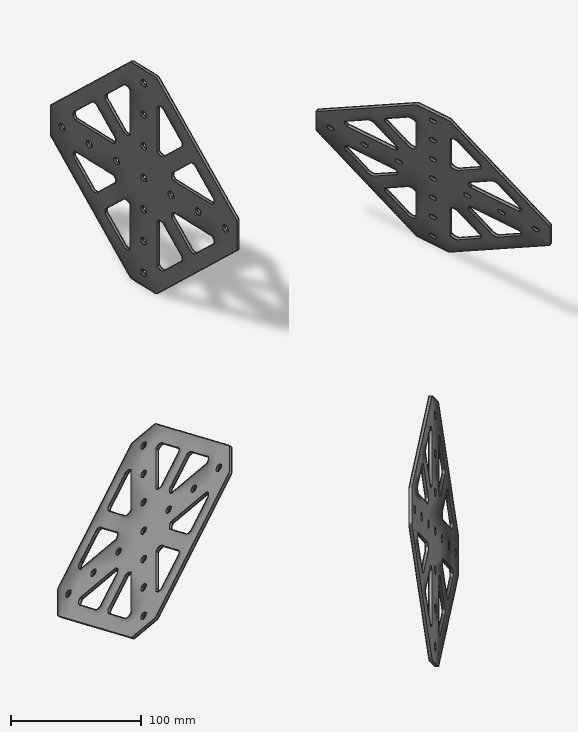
import cadquery as cq
import math

side = 206.0
thickness = 2.5
flat_width = 28.5
corner_radius = 3.5

hole_diameter = 6.2
hole_pitch = 30.0
holes_per_arm = 3

arm_half_width = 15.0
relief_radius = 5.0
relief_offset = 19.2
relief_inner = 35.8
relief_outer = 73.0
edge_offset = 4.7


def make_plate():
    """Square standing on its corner, with the four corners cut flat."""
    half = side / 2
    cut = half - flat_width / 2
    plate = cq.Workplane("XY").box(side, side, thickness).edges("|Z").chamfer(cut)
    return plate.edges("|Z").fillet(corner_radius)


def make_window():
    """Window beside the +Y arm, on its +X side."""
    middle = (relief_inner + relief_outer) / 2
    half_span = (relief_outer - relief_inner) / 2
    tip = relief_offset + half_span
    relief_centers = [
        (relief_offset, relief_inner),
        (relief_offset, relief_outer),
        (tip, middle),
    ]
    depth = 2 * thickness

    shift = edge_offset / math.sqrt(2)
    core = (
        cq.Workplane("XY")
        .polyline(
            [
                (arm_half_width, relief_inner),
                (relief_offset + shift, relief_inner - shift),
                (tip + shift, middle - shift),
                (tip + shift, middle + shift),
                (relief_offset + shift, relief_outer + shift),
                (arm_half_width, relief_outer),
            ]
        )
        .close()
        .extrude(depth, both=True)
    )
    reliefs = cq.Workplane("XY").pushPoints(relief_centers).circle(relief_radius).extrude(depth, both=True)
    arm_side = (
        cq.Workplane("XY")
        .center(arm_half_width + side / 2, 0)
        .rect(side, 2 * side)
        .extrude(depth, both=True)
    )
    return core.union(reliefs).intersect(arm_side)


def hole_centers():
    """Hole centers along both arms, including the shared central one."""
    steps = range(-holes_per_arm, holes_per_arm + 1)
    along_x = [(i * hole_pitch, 0) for i in steps]
    along_y = [(0, i * hole_pitch) for i in steps if i != 0]
    return along_x + along_y


plate = make_plate().faces(">Z").workplane().pushPoints(hole_centers()).hole(hole_diameter)

window = make_window()
for mirrored in (window, window.mirror("YZ")):
    for quarter in range(4):
        plate = plate.cut(mirrored.rotate((0, 0, 0), (0, 0, 1), 90 * quarter))

result = plate.rotate((0, 0, 0), (1, 0, 0), 90)